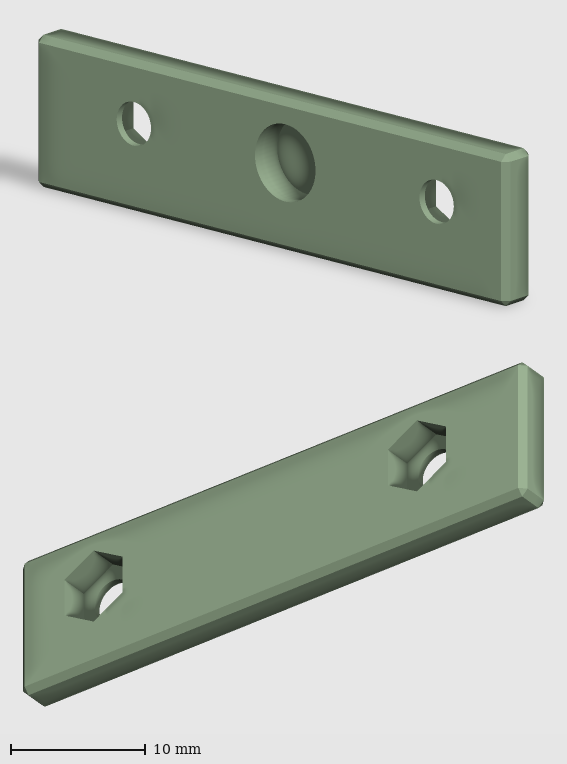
import cadquery as cq
import math

length = 46.8
thickness = 3.0
height = 11.8
edge_chamfer = 0.5

row_center_x = 1.5
row_z = 1.0
screw_spacing = 30.0
screw_diameter = 3.4

pocket_diameter = 6.0
pocket_depth = 2.5

nut_across_flats = 5.4
nut_web = 0.6

front_y = -thickness / 2


def row_plane(x, depth):
    """Workplane on the hole row at a depth below the front face, facing into the plate."""
    origin = (x, front_y + depth, row_z)
    return cq.Workplane(cq.Plane(origin=origin, xDir=(0, 0, 1), normal=(0, 1, 0)))


def screw_hole(x):
    """Through hole that widens into a nut pocket with flats facing +X and -X."""
    hole = row_plane(x, 0).circle(screw_diameter / 2).extrude(thickness)
    across_corners = nut_across_flats / math.cos(math.pi / 6)
    nut_pocket = row_plane(x, nut_web).polygon(6, across_corners).extrude(thickness - nut_web)
    return hole.union(nut_pocket)


plate = cq.Workplane("XY").box(length, thickness, height).edges().chamfer(edge_chamfer)

for side in (-1, 1):
    plate = plate.cut(screw_hole(row_center_x + side * screw_spacing / 2))

round_pocket = row_plane(row_center_x, 0).circle(pocket_diameter / 2).extrude(pocket_depth)

result = plate.cut(round_pocket)